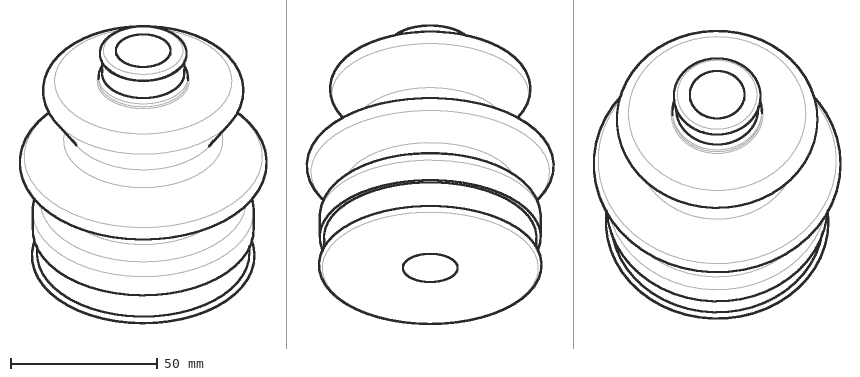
import cadquery as cq
import math

total_height = 88.5
bore_radius = 9.4

foot_bead_radius = 1.15
foot_bead_outer = 38.1
sleeve_radius = 36.4
band_radius = 37.9
band_bottom = 12.3

band_top = 20.3
shoulder_round = 5.0
lower_root_height = 30.0
lower_root_radius = 28.4
lower_root_round = 2.5
crest_height = 40.8
crest_radius = 42.3
crest_round = 2.8
upper_root_height = 54.25
upper_root_radius = 24.9
upper_root_round = 4.4
lip_top = 75.5
lip_radius = 34.3
lip_round = 4.0

collar_radius = 15.3
collar_fillet = 0.4
collar_round = 1.6
collar_round_start = 77.2
neck_radius = 14.1
neck_bead_radius = 1.2
neck_bead_outer = 14.9

CREST = 1
ROOT = -1


def convolution(extreme_radius, height, rounding, kind):
    """Arc centre, rounding radius and kind of one crest or root."""
    return extreme_radius - kind * rounding, height, rounding, kind


def tangent_line(lower, upper):
    """End points of the straight flank touching two neighbouring arcs."""
    r1, z1, round1, kind1 = lower
    r2, z2, round2, kind2 = upper
    dr = r2 - r1
    dz = z2 - z1
    distance_squared = dr**2 + dz**2
    along = kind1 * round1 - kind2 * round2
    across = math.sqrt(distance_squared - along**2)
    normal_r = (along * dr + across * dz) / distance_squared
    normal_z = (along * dz - across * dr) / distance_squared
    start = (r1 + kind1 * round1 * normal_r, z1 + kind1 * round1 * normal_z)
    end = (r2 + kind2 * round2 * normal_r, z2 + kind2 * round2 * normal_z)
    return start, end


def height_on_circle(radius, centre_radius, rounding):
    """Height above an arc centre where the arc reaches the given radius."""
    return math.sqrt(rounding**2 - (radius - centre_radius) ** 2)


def arc_point(centre_r, centre_z, rounding, degrees):
    """Point on an arc at an angle measured from the outward radial direction."""
    angle = math.radians(degrees)
    return centre_r + rounding * math.cos(angle), centre_z + rounding * math.sin(angle)


def add_sleeve(profile):
    """Foot bead curling in to the wall, recessed sleeve and raised band."""
    bead_centre = foot_bead_outer - foot_bead_radius
    bead_end = foot_bead_radius + height_on_circle(sleeve_radius, bead_centre, foot_bead_radius)
    return (
        profile.lineTo(bead_centre, 0)
        .threePointArc((foot_bead_outer, foot_bead_radius), (sleeve_radius, bead_end))
        .lineTo(sleeve_radius, band_bottom)
        .lineTo(band_radius, band_bottom)
        .lineTo(band_radius, band_top)
    )


def add_convolutions(profile):
    """Alternating crest and root arcs joined by tangent conical flanks."""
    arcs = [
        convolution(band_radius, band_top, shoulder_round, CREST),
        convolution(lower_root_radius, lower_root_height, lower_root_round, ROOT),
        convolution(crest_radius, crest_height, crest_round, CREST),
        convolution(upper_root_radius, upper_root_height, upper_root_round, ROOT),
        convolution(lip_radius, lip_top - lip_round, lip_round, CREST),
    ]
    for lower, upper in zip(arcs, arcs[1:]):
        flank_start, flank_end = tangent_line(lower, upper)
        profile = profile.tangentArcPoint(flank_start, relative=False).lineTo(*flank_end)
    return profile.tangentArcPoint((lip_radius - lip_round, lip_top), relative=False)


def add_neck(profile):
    """Collar with a base fillet and rounded top, plain neck and end bead."""
    collar_centre = collar_radius - collar_round
    collar_end = collar_round_start + height_on_circle(neck_radius, collar_centre, collar_round)
    collar_mid = arc_point(collar_centre, collar_round_start, collar_round, 45)
    fillet_outer = collar_radius + collar_fillet
    fillet_top = lip_top + collar_fillet
    fillet_mid = arc_point(fillet_outer, fillet_top, collar_fillet, 225)
    bead_centre = neck_bead_outer - neck_bead_radius
    bead_height = total_height - neck_bead_radius
    bead_start = bead_height - height_on_circle(neck_radius, bead_centre, neck_bead_radius)
    return (
        profile.lineTo(fillet_outer, lip_top)
        .threePointArc(fillet_mid, (collar_radius, fillet_top))
        .lineTo(collar_radius, collar_round_start)
        .threePointArc(collar_mid, (neck_radius, collar_end))
        .lineTo(neck_radius, bead_start)
        .threePointArc((neck_bead_outer, bead_height), (bead_centre, total_height))
        .lineTo(bore_radius, total_height)
    )


profile = cq.Workplane("XZ").moveTo(bore_radius, 0)
profile = add_sleeve(profile)
profile = add_convolutions(profile)
profile = add_neck(profile)
result = profile.close().revolve(360, (0, 0, 0), (0, 1, 0))